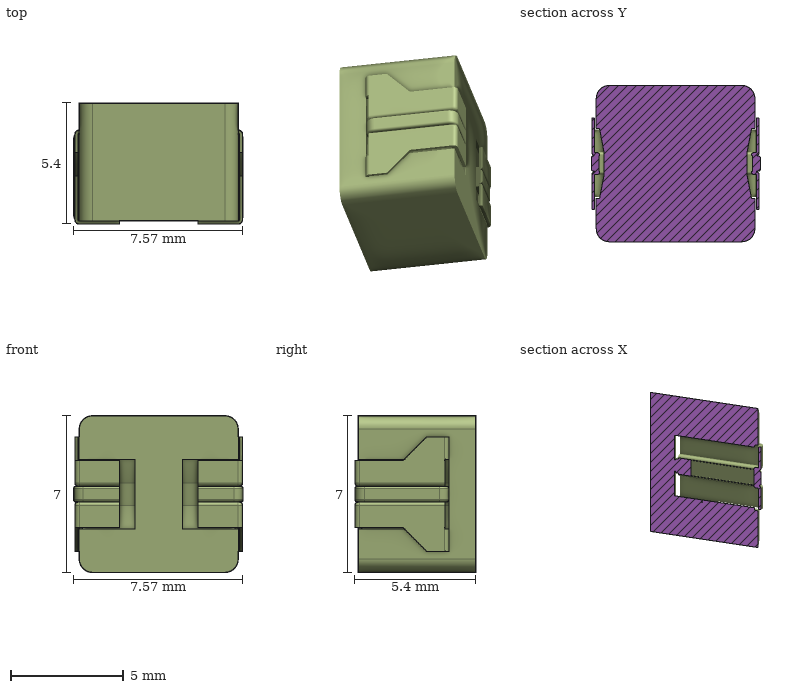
import cadquery as cq
import math

BODY_WIDTH = 7.1
BODY_DEPTH = 5.25
BODY_HEIGHT = 7.0
BODY_CORNER_RADIUS = 0.6

SHEET = 0.15
SHEET_BEND_RADIUS = 0.2
TERMINAL_HALF_SPAN = 3.745
TERMINAL_BACK = 4.05
LEG_HALF_HEIGHT = 1.5
LEG_INNER_X = 1.75
WING_HALF_HEIGHT = 2.55
WING_SLOPE_START = 3.05
CENTRE_PANEL_BACK = 3.88
ANCHOR_INNER_X = 3.0
TERMINAL_FRONT = -SHEET

WIRE_HALF_HEIGHT = 0.35
WIRE_SPAN = 7.57
WIRE_REACH_RIGHT = 3.77
WIRE_REACH_LEFT = WIRE_SPAN - WIRE_REACH_RIGHT
WIRE_BEND_RADIUS = 0.42
WIRE_EDGE_RADIUS = 0.11
CHANNEL_DEPTH = 0.37
CHANNEL_LIP_RADIUS = SHEET
CHANNEL_FLOOR_RADIUS = 0.12
CHANNEL_HALF_HEIGHT = WIRE_HALF_HEIGHT + SHEET

RECESS_HALF_HEIGHT = 1.55
RECESS_FLOOR_HALF_HEIGHT = 0.5
RECESS_EDGE_DEPTH = 0.15
RECESS_FLOOR_DEPTH = 0.35
RECESS_INNER_X = 1.05


def make_body():
    return (
        cq.Workplane("XY")
        .box(BODY_WIDTH, BODY_DEPTH, BODY_HEIGHT, centered=(True, False, True))
        .edges("|Y")
        .fillet(BODY_CORNER_RADIUS)
    )


def recess_outline(plane):
    """Recess section: local x is the depth below the face, local y runs along Z."""
    return plane.polyline(
        [
            (0, -RECESS_HALF_HEIGHT),
            (RECESS_EDGE_DEPTH, -RECESS_HALF_HEIGHT),
            (RECESS_FLOOR_DEPTH, -RECESS_FLOOR_HALF_HEIGHT),
            (RECESS_FLOOR_DEPTH, RECESS_FLOOR_HALF_HEIGHT),
            (RECESS_EDGE_DEPTH, RECESS_HALF_HEIGHT),
            (0, RECESS_HALF_HEIGHT),
        ]
    ).close()


def make_recess():
    """Cutter for the +X recess, covering the front face and the side face."""
    half_width = BODY_WIDTH / 2
    front_plane = cq.Plane(origin=(RECESS_INNER_X, 0, 0), xDir=(0, 1, 0), normal=(1, 0, 0))
    side_plane = cq.Plane(origin=(half_width, 0, 0), xDir=(-1, 0, 0), normal=(0, 1, 0))
    front = recess_outline(cq.Workplane(front_plane)).extrude(half_width - RECESS_INNER_X)
    side = recess_outline(cq.Workplane(side_plane)).extrude(TERMINAL_BACK)
    return front.union(side)


def slab(x_range, y_range, z_range):
    """Box between the given limits."""
    size = [high - low for low, high in (x_range, y_range, z_range)]
    corner = (x_range[0], y_range[0], z_range[0])
    return cq.Workplane("XY").box(*size, centered=False).translate(corner)


def make_angle(half_span, back, thickness, bend_radius, z_range):
    """L-shaped strip: a leg on the front and a panel on the side, rounded at the outer bend."""
    bend_x = half_span - bend_radius
    bend_y = TERMINAL_FRONT + bend_radius
    bend_mid = (
        bend_x + bend_radius * math.cos(math.pi / 4),
        bend_y - bend_radius * math.sin(math.pi / 4),
    )
    return (
        cq.Workplane("XY")
        .workplane(offset=z_range[0])
        .moveTo(LEG_INNER_X, TERMINAL_FRONT)
        .lineTo(bend_x, TERMINAL_FRONT)
        .threePointArc(bend_mid, (half_span, bend_y))
        .lineTo(half_span, back)
        .lineTo(half_span - thickness, back)
        .lineTo(half_span - thickness, TERMINAL_FRONT + thickness)
        .lineTo(LEG_INNER_X, TERMINAL_FRONT + thickness)
        .close()
        .extrude(z_range[1] - z_range[0])
    )


def round_outer_edge(strip, side_x, z, radius):
    """Round the smooth chain of edges at height z that follows the outside of a strip."""
    panel_middle = (side_x, CENTRE_PANEL_BACK / 2, z)
    return strip.edges(cq.NearestToPointSelector(panel_middle)).fillet(radius)


def make_upper_sheet():
    """Upper half of the +X terminal: leg and side panel, channel wall and wing."""
    plate = make_angle(
        TERMINAL_HALF_SPAN, CENTRE_PANEL_BACK, SHEET, SHEET_BEND_RADIUS,
        (WIRE_HALF_HEIGHT, LEG_HALF_HEIGHT),
    )
    bend_inside = (TERMINAL_HALF_SPAN - SHEET, 0, 0)
    plate = plate.edges("|Z").edges(cq.NearestToPointSelector(bend_inside)).fillet(SHEET_BEND_RADIUS - SHEET)
    wall = make_angle(
        TERMINAL_HALF_SPAN, CENTRE_PANEL_BACK, CHANNEL_DEPTH, SHEET_BEND_RADIUS,
        (WIRE_HALF_HEIGHT, CHANNEL_HALF_HEIGHT),
    )
    inner_x = TERMINAL_HALF_SPAN - CHANNEL_DEPTH
    inner_y = TERMINAL_FRONT + CHANNEL_DEPTH
    leg_edge = cq.NearestToPointSelector(((LEG_INNER_X + inner_x) / 2, inner_y, CHANNEL_HALF_HEIGHT))
    panel_edge = cq.NearestToPointSelector((inner_x, (inner_y + CENTRE_PANEL_BACK) / 2, CHANNEL_HALF_HEIGHT))
    wall = wall.edges(leg_edge + panel_edge).fillet(CHANNEL_FLOOR_RADIUS)
    sheet = plate.union(wall).clean()
    sheet = round_outer_edge(sheet, TERMINAL_HALF_SPAN, WIRE_HALF_HEIGHT, CHANNEL_LIP_RADIUS)
    return sheet.union(make_wing())


def make_wing():
    """Wing on the side face whose back edge bends inward and is anchored in the block."""
    inner_x = TERMINAL_HALF_SPAN - SHEET
    panel = slab(
        (ANCHOR_INNER_X, TERMINAL_HALF_SPAN), (0, TERMINAL_BACK), (LEG_HALF_HEIGHT, WING_HALF_HEIGHT)
    )
    panel = panel.edges("|Z and >X and >Y").fillet(SHEET_BEND_RADIUS)
    hollow = slab(
        (ANCHOR_INNER_X, inner_x), (0, TERMINAL_BACK - SHEET), (LEG_HALF_HEIGHT, WING_HALF_HEIGHT)
    )
    hollow = hollow.edges("|Z and >X and >Y").fillet(SHEET_BEND_RADIUS - SHEET)
    slope_end = WING_SLOPE_START - (WING_HALF_HEIGHT - LEG_HALF_HEIGHT)
    outline = (
        cq.Workplane("YZ")
        .polyline(
            [
                (slope_end, LEG_HALF_HEIGHT),
                (WING_SLOPE_START, WING_HALF_HEIGHT),
                (TERMINAL_BACK, WING_HALF_HEIGHT),
                (TERMINAL_BACK, LEG_HALF_HEIGHT),
            ]
        )
        .close()
        .extrude(TERMINAL_HALF_SPAN)
    )
    recess_clearance = slab(
        (ANCHOR_INNER_X, TERMINAL_HALF_SPAN),
        (CENTRE_PANEL_BACK, TERMINAL_BACK),
        (LEG_HALF_HEIGHT, RECESS_HALF_HEIGHT),
    )
    return panel.cut(hollow).cut(recess_clearance).intersect(outline)


def make_wire(reach):
    """Wire lead on the +X side whose outer face lies at the given x, rounded over at the back."""
    wire = make_angle(
        reach, TERMINAL_BACK, CHANNEL_DEPTH, WIRE_BEND_RADIUS, (-WIRE_HALF_HEIGHT, WIRE_HALF_HEIGHT)
    )
    heel = slab(
        (ANCHOR_INNER_X, reach),
        (TERMINAL_BACK - CHANNEL_DEPTH - WIRE_BEND_RADIUS, TERMINAL_BACK),
        (-WIRE_HALF_HEIGHT, WIRE_HALF_HEIGHT),
    )
    wire = wire.union(heel)
    wire = wire.edges("|Z and >X and >Y").fillet(WIRE_BEND_RADIUS)
    for z in (-WIRE_HALF_HEIGHT, WIRE_HALF_HEIGHT):
        wire = round_outer_edge(wire, reach, z, WIRE_EDGE_RADIUS)
    return wire


body = make_body()
recess = make_recess()
upper_sheet = make_upper_sheet()
sheet = upper_sheet.union(upper_sheet.mirror("XY"))
terminal_right = sheet.union(make_wire(WIRE_REACH_RIGHT))
terminal_left = sheet.union(make_wire(WIRE_REACH_LEFT)).mirror("YZ")
result = body.cut(recess).cut(recess.mirror("YZ")).union(terminal_right).union(terminal_left)